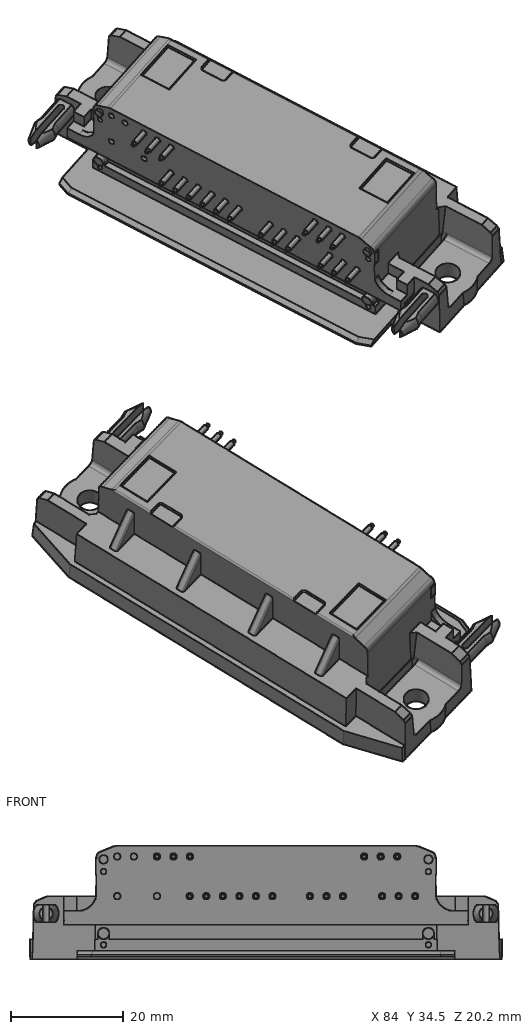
import cadquery as cq


OVERLAP = 0.8
NEAR = 0.1

BASE_HEIGHT = 3.6
FLANGE_DRAFT = 4.0
FLANGE_BACK = 13.8
FLANGE_BACK_HALF_LENGTH = 30.7
FLANGE_CORNER_Y = 10.4
HOLE_X = 36.6
HOLE_DIAMETER = 4.45
HOLE_BOSS_RADIUS = 42.0 - HOLE_X
GAP_OUTER_X = 31.65

EAR_TOP = 11.25
EAR_FOOT_HALF_LENGTH = 41.6
EAR_HALF_LENGTH = 41.3
EAR_SIDE_TOP_Z = 9.8
EAR_SLOPE_END = (40.9, 10.4)
EAR_SLOPE_START_X = 38.95
EAR_FOOT_FRONT = -9.7
EAR_FOOT_BACK = 9.65
EAR_WALL_INNER_Y = 6.9
EAR_WALL_DRAFT = 0.4
EAR_FILLET = 0.9
CORNER_WEB = 0.7

TOP = 20.2
HOUSING_FOOT_HALF_LENGTH = 30.5
HOUSING_HALF_LENGTH = 30.1
HOUSING_SIDE_TOP_Z = 18.05
ROOF_SHOULDER_MIDDLE = (30.0, 18.8)
ROOF_SLOPE_START = (29.3, 19.2)
ROOF_SLOPE_END = (27.3, 20.1)
ROOF_HALF_LENGTH = 26.7
HOUSING_BACK = 5.8
FRONT_FACE = -13.8
RECESSED_FACE = -12.6
FRONT_PLATE_BOTTOM = 6.1
ROOF_BACK_FILLET = 0.3
CORNER_PAD_HALF_LENGTH = 30.3
CORNER_PAD_BOTTOM = 15.0

BLOCK_FOOT_Y = 12.5
BLOCK_TOP_Y = 12.1
RIB_X = (8.1, 23.0)
RIB_WIDTH = 1.7
RIB_EDGE_FILLET = 0.3
RIB_TIP_Y = 11.0
RIB_TOP_Z = 17.3

SHELF_HALF_LENGTH = 35.9
SHELF_BOTTOM = 7.0
SHELF_TOP = 8.65
SHELF_FILLET = 3.3
POST_INNER_X = 33.7
POST_FRONT = -11.75

PLATE_HALF_LENGTH = 33.6
PLATE_FRONT = -20.7
PLATE_TOP = 1.5
PLATE_UNDERSIDE = 0.5
PLATE_FOOT_FRONT = -13.35
PLATE_CORNER_X = 2.5
PLATE_CORNER_Y = 1.0
PLATE_BEVEL_HEIGHT = 0.7
PLATE_BEVEL_WIDTH = 0.9

PIN_DIAMETER = 1.0
PIN_TIP_DIAMETER = 0.7
PIN_SHOULDER_Y = -16.7
PIN_END_Y = -17.3
PIN_PITCH = 2.9
UPPER_ROW_Z = 18.3
LOWER_ROW_Z = 11.25
PIN_GROUPS = (
    (-16.45, UPPER_ROW_Z, 3),
    (20.4, UPPER_ROW_Z, 3),
    (-6.2, LOWER_ROW_Z, 6),
    (10.75, LOWER_ROW_Z, 3),
    (23.6, LOWER_ROW_Z, 3),
)
EMPTY_HOLES = [(-26.45, UPPER_ROW_Z), (-23.5, UPPER_ROW_Z), (-26.45, LOWER_ROW_Z), (-19.4, LOWER_ROW_Z)]
PIN_HOLE_DIAMETER = 1.2
PIN_HOLE_DEPTH = 0.8
STUD_X = 28.9
STUD_FRONT = -14.3
UPPER_STUD_Z = 17.8
UPPER_STUD_DIAMETER = 1.5
LOWER_STUD_Z = 4.6
LOWER_STUD_DIAMETER = 2.0
STUD_HOLE_Z = (2.6, 15.6)
STUD_HOLE_DIAMETER = 1.0

RECESS_DEPTH = 0.25
RECESS_WALL_ANGLE = 45.0
WINDOW_X = 23.5
WINDOW_LENGTH = 6.1
WINDOW_WIDTH = 8.5
TAB_X = 16.0
TAB_LENGTH = 5.3
TAB_FRONT_Y = 2.8
TAB_RADIUS = 0.7

PEG_X = 39.1
PEG_Z = 8.15
PEG_THICKNESS = 3.1
PEG_RADIUS = 2.0
PEG_HEAD_RADIUS = 2.3
PEG_TIP_RADIUS = 1.2
PEG_NECK_Y = -14.8
PEG_HEAD_Y = -16.2
PEG_END_Y = -19.65
PEG_SLOT_WIDTH = 1.2
PEG_SLOT_END_Y = -10.5


def box(x0, x1, y0, y1, z0, z1):
    """Block between two opposite corners."""
    return cq.Workplane("XY").box(x1 - x0, y1 - y0, z1 - z0, centered=False).translate((x0, y0, z0))


def rod(x, z, diameter, y_back, y_front):
    """Round bar along Y, between its back and front ends."""
    plane = cq.Workplane("XZ", origin=(x, y_back, z))
    return plane.circle(diameter / 2).extrude(y_back - y_front)


def both_sides(shape):
    """The shape together with its mirror image about X = 0."""
    return shape.union(shape.mirror("YZ"))


def extrude_along_y(profile, y_back, y_front):
    """Extrude an XZ profile towards -Y."""
    return profile.extrude(y_back - y_front).translate((0, y_back, 0))


def make_flange():
    """Low flange that runs behind the ears, and the round bosses of the mounting holes."""
    right = [
        (EAR_FOOT_HALF_LENGTH, EAR_WALL_INNER_Y),
        (EAR_FOOT_HALF_LENGTH, FLANGE_CORNER_Y),
        (FLANGE_BACK_HALF_LENGTH, FLANGE_BACK),
    ]
    left = [(-x, y) for x, y in reversed(right)]
    flange = cq.Workplane("XY").polyline(right + left).close().extrude(BASE_HEIGHT, taper=FLANGE_DRAFT)
    boss = cq.Workplane("XY").center(HOLE_X, 0).circle(HOLE_BOSS_RADIUS).extrude(BASE_HEIGHT)
    return flange.union(both_sides(boss))


def make_ears():
    """U-shaped section along X: a floor between two leaning walls, with rounded inner corners."""
    section = (
        cq.Workplane("YZ")
        .moveTo(EAR_FOOT_FRONT, 0)
        .lineTo(EAR_FOOT_BACK, 0)
        .lineTo(EAR_FOOT_BACK - EAR_WALL_DRAFT, EAR_TOP)
        .lineTo(EAR_WALL_INNER_Y + EAR_WALL_DRAFT, EAR_TOP)
        .lineTo(EAR_WALL_INNER_Y, BASE_HEIGHT)
        .lineTo(-EAR_WALL_INNER_Y, BASE_HEIGHT)
        .lineTo(-EAR_WALL_INNER_Y - EAR_WALL_DRAFT, EAR_TOP)
        .lineTo(EAR_FOOT_FRONT + EAR_WALL_DRAFT / 2, EAR_TOP)
        .close()
        .extrude(EAR_FOOT_HALF_LENGTH)
    )
    inner_corners = cq.selectors.BoxSelector(
        (0, -EAR_WALL_INNER_Y - NEAR, BASE_HEIGHT - NEAR),
        (EAR_FOOT_HALF_LENGTH, EAR_WALL_INNER_Y + NEAR, BASE_HEIGHT + NEAR),
    )
    section = section.edges("|X").edges(inner_corners).fillet(EAR_FILLET)
    outline = (
        cq.Workplane("XZ")
        .lineTo(EAR_FOOT_HALF_LENGTH, 0)
        .lineTo(EAR_HALF_LENGTH, EAR_SIDE_TOP_Z)
        .lineTo(*EAR_SLOPE_END)
        .lineTo(EAR_SLOPE_START_X, EAR_TOP)
        .lineTo(0, EAR_TOP)
        .close()
    )
    return both_sides(section.intersect(extrude_along_y(outline, EAR_FOOT_BACK, EAR_FOOT_FRONT)))


def housing_prism(y_back, y_front):
    """Housing cross-section with drafted sides and sloped roof edges, extruded along Y."""
    half = (
        cq.Workplane("XZ")
        .lineTo(HOUSING_FOOT_HALF_LENGTH, 0)
        .lineTo(HOUSING_HALF_LENGTH, HOUSING_SIDE_TOP_Z)
        .threePointArc(ROOF_SHOULDER_MIDDLE, ROOF_SLOPE_START)
        .lineTo(*ROOF_SLOPE_END)
        .lineTo(ROOF_HALF_LENGTH, TOP)
        .lineTo(0, TOP)
        .close()
    )
    return both_sides(extrude_along_y(half, y_back, y_front))


def make_housing():
    housing = housing_prism(HOUSING_BACK, FRONT_FACE)
    housing = housing.faces(">Z").edges(">Y").fillet(ROOF_BACK_FILLET)
    width = CORNER_PAD_HALF_LENGTH + OVERLAP
    recess = box(-width, width, FRONT_FACE, RECESSED_FACE, BASE_HEIGHT, FRONT_PLATE_BOTTOM)
    step = box(-width, width, FRONT_FACE, PLATE_FOOT_FRONT, 0, PLATE_UNDERSIDE)
    pad_top = HOUSING_SIDE_TOP_Z
    pad = box(STUD_X, CORNER_PAD_HALF_LENGTH, FRONT_FACE, RECESSED_FACE, CORNER_PAD_BOTTOM, pad_top)
    return housing.cut(recess).cut(step).union(both_sides(pad))


def make_rear_block():
    """Lower block behind the housing, with triangular ribs on top."""
    length = 2 * HOUSING_FOOT_HALF_LENGTH
    block = (
        cq.Workplane("YZ", origin=(-length / 2, 0, 0))
        .moveTo(HOUSING_BACK, 0)
        .lineTo(BLOCK_FOOT_Y, 0)
        .lineTo(BLOCK_FOOT_Y, BASE_HEIGHT)
        .lineTo(BLOCK_TOP_Y, EAR_TOP)
        .lineTo(HOUSING_BACK, EAR_TOP)
        .close()
        .extrude(length)
    )
    block = block.intersect(housing_prism(BLOCK_FOOT_Y, HOUSING_BACK))
    for x in RIB_X:
        rib = (
            cq.Workplane("YZ", origin=(x - RIB_WIDTH / 2, 0, 0))
            .polyline([(HOUSING_BACK, EAR_TOP), (RIB_TIP_Y, EAR_TOP), (HOUSING_BACK, RIB_TOP_Z)])
            .close()
            .extrude(RIB_WIDTH)
        )
        rib = rib.edges("not(|X or |Y or |Z)").fillet(RIB_EDGE_FILLET)
        block = block.union(both_sides(rib))
    return block


def make_shelves():
    """Shelf, post and rounded front plate on each side of the housing."""
    shelf = box(0, SHELF_HALF_LENGTH, RECESSED_FACE, EAR_FOOT_FRONT + OVERLAP, SHELF_BOTTOM, SHELF_TOP)
    post = box(POST_INNER_X, SHELF_HALF_LENGTH, POST_FRONT, EAR_FOOT_FRONT + OVERLAP, SHELF_BOTTOM, EAR_TOP)
    front_plate_profile = (
        cq.Workplane("XZ")
        .moveTo(0, FRONT_PLATE_BOTTOM)
        .lineTo(SHELF_HALF_LENGTH, FRONT_PLATE_BOTTOM)
        .lineTo(SHELF_HALF_LENGTH, SHELF_TOP)
        .lineTo(HOUSING_HALF_LENGTH + SHELF_FILLET, SHELF_TOP)
        .radiusArc((HOUSING_HALF_LENGTH, SHELF_TOP + SHELF_FILLET), SHELF_FILLET)
        .lineTo(0, SHELF_TOP + SHELF_FILLET)
        .close()
    )
    front_plate = extrude_along_y(front_plate_profile, RECESSED_FACE, FRONT_FACE)
    return both_sides(shelf.union(post).union(front_plate))


def make_plate():
    """Thin tongue with bevelled front corners, and the thicker foot behind it."""
    foot_back = EAR_FOOT_FRONT + OVERLAP
    foot = box(-PLATE_HALF_LENGTH, PLATE_HALF_LENGTH, PLATE_FOOT_FRONT, foot_back, 0, PLATE_TOP)
    right = [
        (PLATE_HALF_LENGTH - PLATE_CORNER_X, PLATE_FRONT),
        (PLATE_HALF_LENGTH, PLATE_FRONT + PLATE_CORNER_Y),
        (PLATE_HALF_LENGTH, EAR_FOOT_FRONT),
    ]
    left = [(-x, y) for x, y in reversed(right)]
    tongue = (
        cq.Workplane("XY", origin=(0, 0, PLATE_UNDERSIDE))
        .polyline(right + left)
        .close()
        .extrude(PLATE_TOP - PLATE_UNDERSIDE)
    )
    front_edges = cq.selectors.BoxSelector(
        (-PLATE_HALF_LENGTH, PLATE_FRONT - OVERLAP, PLATE_TOP - NEAR),
        (PLATE_HALF_LENGTH, PLATE_FRONT + PLATE_CORNER_Y, PLATE_TOP + NEAR),
    )
    tongue = tongue.edges(front_edges).chamfer(PLATE_BEVEL_HEIGHT, PLATE_BEVEL_WIDTH)
    return foot.union(tongue)


def pin_positions():
    positions = []
    for centre_x, z, count in PIN_GROUPS:
        for i in range(count):
            positions.append((centre_x + (i - (count - 1) / 2) * PIN_PITCH, z))
    return positions


def make_pins():
    pins = cq.Workplane("XY")
    for x, z in pin_positions():
        pins = pins.add(rod(x, z, PIN_DIAMETER, RECESSED_FACE, PIN_SHOULDER_Y))
        pins = pins.add(rod(x, z, PIN_TIP_DIAMETER, RECESSED_FACE, PIN_END_Y))
    return pins.combine()


def make_studs():
    upper = rod(STUD_X, UPPER_STUD_Z, UPPER_STUD_DIAMETER, RECESSED_FACE, STUD_FRONT)
    lower = rod(STUD_X, LOWER_STUD_Z, LOWER_STUD_DIAMETER, RECESSED_FACE + OVERLAP, STUD_FRONT)
    radius = LOWER_STUD_DIAMETER / 2
    support = box(STUD_X - radius, STUD_X + radius, FRONT_FACE, RECESSED_FACE, BASE_HEIGHT, LOWER_STUD_Z)
    return both_sides(upper.union(lower).union(support))


def make_small_holes():
    """Shallow holes around the pins, at the empty pin places and beside the studs."""
    def hole(x, z, diameter):
        return rod(x, z, diameter, FRONT_FACE + PIN_HOLE_DEPTH, FRONT_FACE)

    holes = cq.Workplane("XY")
    for x, z in pin_positions() + EMPTY_HOLES:
        holes = holes.add(hole(x, z, PIN_HOLE_DIAMETER))
    for z in STUD_HOLE_Z:
        for x in (-STUD_X, STUD_X):
            holes = holes.add(hole(x, z, STUD_HOLE_DIAMETER))
    return holes.combine()


def make_roof_recesses():
    """Shallow roof pockets with sloping walls; the tab pockets are open to the back."""
    roof = cq.Workplane("XY", origin=(0, 0, TOP))
    window = (
        roof.center(WINDOW_X, 0)
        .rect(WINDOW_LENGTH, WINDOW_WIDTH)
        .extrude(-RECESS_DEPTH, taper=RECESS_WALL_ANGLE)
    )
    tab_width = HOUSING_BACK + OVERLAP - TAB_FRONT_Y
    tab_outline = cq.Sketch().rect(TAB_LENGTH, tab_width).vertices("<Y").fillet(TAB_RADIUS)
    tab = (
        roof.center(TAB_X, TAB_FRONT_Y + tab_width / 2)
        .placeSketch(tab_outline)
        .extrude(-RECESS_DEPTH, taper=RECESS_WALL_ANGLE)
    )
    return both_sides(window.union(tab))


def make_pegs():
    """Flattened round pegs with a conical head, split by a slot with a round end."""
    peg = (
        cq.Workplane("XY")
        .moveTo(0, EAR_FOOT_FRONT + OVERLAP)
        .lineTo(PEG_RADIUS, EAR_FOOT_FRONT + OVERLAP)
        .lineTo(PEG_RADIUS, PEG_NECK_Y)
        .lineTo(PEG_HEAD_RADIUS, PEG_HEAD_Y)
        .lineTo(PEG_TIP_RADIUS, PEG_END_Y)
        .lineTo(0, PEG_END_Y)
        .close()
        .revolve(360, (0, 0, 0), (0, 1, 0))
    )
    half = PEG_THICKNESS / 2
    width = PEG_HEAD_RADIUS
    peg = peg.intersect(box(-width, width, PEG_END_Y, 0, -half, half))
    slot_radius = PEG_SLOT_WIDTH / 2
    round_y = PEG_SLOT_END_Y - slot_radius
    slot = box(-slot_radius, slot_radius, PEG_END_Y, round_y, -half, half)
    slot_end = cq.Workplane("XY", origin=(0, round_y, -half)).circle(slot_radius).extrude(PEG_THICKNESS)
    return both_sides(peg.cut(slot).cut(slot_end).translate((PEG_X, 0, PEG_Z)))


def make_corner_webs():
    """Small upright webs where the ear walls meet the housing sides."""
    inner_x = HOUSING_HALF_LENGTH - OVERLAP
    wall_y = EAR_WALL_INNER_Y + EAR_WALL_DRAFT
    outline = [
        (inner_x, wall_y),
        (inner_x, EAR_WALL_INNER_Y - CORNER_WEB),
        (HOUSING_HALF_LENGTH, EAR_WALL_INNER_Y - CORNER_WEB),
        (HOUSING_FOOT_HALF_LENGTH + CORNER_WEB, wall_y),
    ]
    web = (
        cq.Workplane("XY", origin=(0, 0, BASE_HEIGHT))
        .polyline(outline)
        .close()
        .extrude(EAR_TOP - BASE_HEIGHT)
    )
    return both_sides(web.union(web.mirror("XZ")))


def make_ear_openings():
    """Mounting holes and the through gaps between the ears and the housing."""
    hole = cq.Workplane("XY").center(HOLE_X, 0).circle(HOLE_DIAMETER / 2).extrude(EAR_TOP)
    gap = box(HOUSING_FOOT_HALF_LENGTH, GAP_OUTER_X, -EAR_WALL_INNER_Y, EAR_WALL_INNER_Y, 0, EAR_TOP)
    return both_sides(hole.union(gap))


result = (
    make_flange()
    .union(make_ears())
    .union(make_rear_block())
    .union(make_housing())
    .union(make_shelves())
    .union(make_plate())
    .cut(make_ear_openings())
    .union(make_corner_webs())
    .cut(make_small_holes())
    .cut(make_roof_recesses())
    .union(make_studs())
    .union(make_pins())
    .union(make_pegs())
)